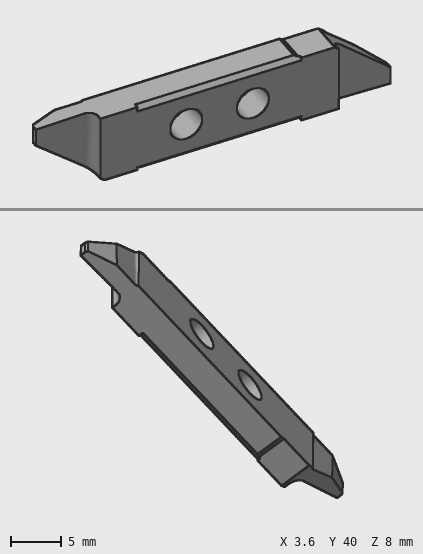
import cadquery as cq
import math

length = 40.0
thickness = 3.6
height = 8.0
half_length = length / 2
half_height = height / 2
back_x = -thickness / 2
front_x = thickness / 2

tip_height = 2.0
slope_length = 7.0
pad_drop = 0.2
pad_inner_y = 9.05
pad_ramp = 0.4

relief_angle = 0.7
back_recess = 0.15
recess_end_y = 13.95
recess_radius = 0.4
bevel_start_y = 16.85
bevel_tip_x = -0.45
tip_flat_x = -0.15
tip_bevel = 0.1
tip_front_x = 0.45
root_front_x = 0.3
shoulder_y = 13.45
root_radius = 1.0

hole_diameter = 3.6
hole_spacing = 7.5
chamfer_size = 0.5
chamfer_half_length = 9.25


def half_turn(shape):
    return shape.rotate((0, 0, 0), (1, 0, 0), 180)


def side_blank():
    """Plate with slanted ends and stepped pads, extruded through the thickness."""
    half_outline = [
        (-half_length, half_height),
        (-half_length, half_height - tip_height),
        (-half_length + slope_length, -half_height + pad_drop),
        (-pad_inner_y, -half_height + pad_drop),
        (-pad_inner_y + pad_ramp, -half_height),
    ]
    outline = half_outline + [(-y, -z) for y, z in half_outline]
    return cq.Workplane("YZ").workplane(offset=back_x).polyline(outline).close().extrude(thickness)


def plan_wire(z):
    """Plan of the -Y half at height z; the blade narrows below the top edge."""
    relief = (half_height - z) * math.tan(math.radians(relief_angle))
    recess_depth = back_recess + relief
    recess_x = back_x + recess_depth
    recess_angle = math.acos(1 - recess_depth / recess_radius)
    root_x = root_front_x - relief
    arc_radius = root_radius + relief
    arc_center = (root_x + arc_radius, -shoulder_y - arc_radius)
    arc_offset = arc_radius * math.sqrt(0.5)

    def recess_arc_point(angle):
        x = recess_x - recess_radius * (1 - math.cos(angle))
        y = -recess_end_y + recess_radius * math.sin(angle)
        return (x, y)

    return (
        cq.Workplane("XY").workplane(offset=z)
        .moveTo(back_x, 0)
        .lineTo(*recess_arc_point(recess_angle))
        .threePointArc(recess_arc_point(recess_angle / 2), recess_arc_point(0))
        .lineTo(recess_x, -bevel_start_y)
        .lineTo(bevel_tip_x + relief, -half_length + tip_bevel)
        .lineTo(tip_flat_x + relief, -half_length)
        .lineTo(tip_front_x - relief, -half_length)
        .lineTo(root_x, arc_center[1])
        .threePointArc(
            (arc_center[0] - arc_offset, arc_center[1] + arc_offset),
            (arc_center[0], -shoulder_y),
        )
        .lineTo(front_x, -shoulder_y)
        .lineTo(front_x, 0)
        .close()
        .val()
    )


def relieved_half():
    wires = [plan_wire(-half_height), plan_wire(half_height)]
    return cq.Workplane(cq.Solid.makeLoft(wires, True))


def edge_chamfer():
    """Triangular cutter for the top edge of the +X face, between the pads."""
    return (
        cq.Workplane("XZ").workplane(offset=-chamfer_half_length)
        .moveTo(front_x, half_height)
        .lineTo(front_x - chamfer_size, half_height)
        .lineTo(front_x, half_height - chamfer_size)
        .close()
        .extrude(2 * chamfer_half_length)
    )


def mounting_holes():
    return (
        cq.Workplane("YZ").workplane(offset=back_x)
        .pushPoints([(-hole_spacing / 2, 0), (hole_spacing / 2, 0)])
        .circle(hole_diameter / 2)
        .extrude(thickness)
    )


blade_half = relieved_half()
plan_body = blade_half.union(half_turn(blade_half))
chamfer = edge_chamfer()

result = side_blank().intersect(plan_body)
result = result.cut(chamfer).cut(half_turn(chamfer)).cut(mounting_holes())